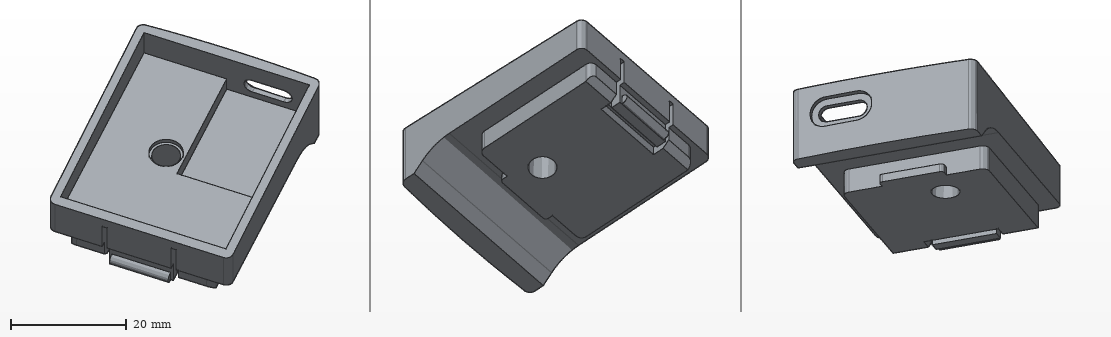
import cadquery as cq
import math

body_width = 34.2
front_height = 12.0
back_height = 13.62
corner_radius = 1.3
side_wall = 1.6
front_wall = 1.9
back_side_length = 41.9
back_bow = 0.5
overall_length = back_side_length + back_bow
pocket_back = 40.3

underside_z = 4.5
foot_length = 3.67
arch_radius = 8.75
arch_angle = math.radians(45)

floor_z = 8.0
deep_floor_z = 5.2
deep_floor_front = 17.4

plug_width = 27.0
plug_front = 1.0
plug_length = 25.95
plug_corner_radius = 1.3
plug_chamfer = 1.3

tongue_width = 12.0
tongue_length = 1.6
tongue_height = 1.5
tongue_corner_radius = 0.65

clip_width = 12.0
clip_back = 2.9
clip_gap = 0.93
clip_slot_top = 10.0
clip_opening_back = 4.0
clip_relief_depth = 0.5
clip_bead_width = 11.0
clip_bead_radius = 1.0
clip_bead_projection = 0.2

screw_x = -3.5
screw_y = 21.0
screw_diameter = 5.0
screw_head_diameter = 6.01
screw_head_depth = 0.8

port_width = 9.0
port_height = 3.1
port_z = 8.2
port_wall = 1.0
port_recess_margin = 1.3

inner_half_width = body_width / 2 - side_wall


def box(x_min, x_max, y_min, y_max, z_min, z_max):
    """Axis-aligned block between the given limits."""
    size = (x_max - x_min, y_max - y_min, z_max - z_min)
    return cq.Workplane("XY").box(*size, centered=False).translate((x_min, y_min, z_min))


def make_side_profile():
    """Sloped rim, flat underside and arched foot, extruded across the width."""
    rise = underside_z - arch_radius * (1 - math.cos(arch_angle))
    arch_low_y = overall_length - foot_length - rise / math.tan(arch_angle)
    arch_start_y = arch_low_y - arch_radius * math.sin(arch_angle)
    mid_y = arch_start_y + arch_radius * math.sin(arch_angle / 2)
    mid_z = underside_z - arch_radius * (1 - math.cos(arch_angle / 2))
    return (
        cq.Workplane("YZ")
        .moveTo(0, underside_z)
        .lineTo(arch_start_y, underside_z)
        .threePointArc((mid_y, mid_z), (arch_low_y, rise))
        .lineTo(overall_length - foot_length, 0)
        .lineTo(overall_length, 0)
        .lineTo(overall_length, back_height)
        .lineTo(0, front_height)
        .close()
        .extrude(body_width / 2, both=True)
    )


def make_plan():
    """Rounded plan outline with a bowed back face, as a tall prism."""
    half = body_width / 2
    return (
        cq.Workplane("XY")
        .moveTo(-half, 0)
        .lineTo(half, 0)
        .lineTo(half, back_side_length)
        .threePointArc((0, overall_length), (-half, back_side_length))
        .close()
        .extrude(back_height)
        .edges("|Z")
        .fillet(corner_radius)
    )


def make_plug():
    """Rounded block under the tray with a chamfered lower front edge."""
    half = plug_width / 2
    plug = box(-half, half, plug_front, plug_front + plug_length, 0, underside_z)
    plug = plug.edges("|Z").fillet(plug_corner_radius)
    chamfer = (
        cq.Workplane("YZ")
        .moveTo(plug_front, 0)
        .lineTo(plug_front + plug_chamfer, 0)
        .lineTo(plug_front, plug_chamfer)
        .close()
        .extrude(half, both=True)
    )
    return plug.cut(chamfer)


def make_tongue():
    """Locating tongue at the bottom of the plug's back face."""
    half = tongue_width / 2
    plug_back = plug_front + plug_length
    tongue = box(-half, half, plug_back - tongue_length, plug_back + tongue_length, 0, tongue_height)
    return tongue.edges("|Z and >Y").fillet(tongue_corner_radius)


def make_pocket():
    """Open-topped pocket with a deeper floor in its back right quarter."""
    upper = box(-inner_half_width, inner_half_width, front_wall, pocket_back, floor_z, back_height)
    deep = box(0, inner_half_width, deep_floor_front, pocket_back, deep_floor_z, floor_z)
    return upper.union(deep)


def make_clip_opening():
    """U-shaped gap that frees the clip arm from the plug and front wall."""
    half = clip_width / 2 + clip_gap
    opening = box(-half, half, 0, clip_opening_back, 0, clip_slot_top)
    relief_back = clip_opening_back + clip_relief_depth
    relief = box(-half, half, clip_opening_back, relief_back, 0, 2 * clip_bead_radius)
    return opening.union(relief)


def make_clip():
    """Clip arm hanging from the front wall, with a rounded snap bead."""
    half = clip_width / 2
    arm = box(-half, half, plug_front, clip_back, 0, floor_z)
    wall = box(-half, half, 0, front_wall, underside_z, clip_slot_top)
    bead = (
        cq.Workplane("YZ")
        .center(clip_bead_radius - clip_bead_projection, clip_bead_radius)
        .circle(clip_bead_radius)
        .extrude(clip_bead_width / 2, both=True)
    )
    return arm.union(wall).union(bead)


def make_screw_hole():
    """Through hole with a shallow counterbore in the pocket floor."""
    hole = cq.Workplane("XY").circle(screw_diameter / 2).extrude(floor_z)
    head = (
        cq.Workplane("XY")
        .workplane(offset=floor_z - screw_head_depth)
        .circle(screw_head_diameter / 2)
        .extrude(screw_head_depth)
    )
    return hole.union(head).translate((screw_x, screw_y, 0))


def oblong_along_y(width, height, y_min, y_max):
    """Round-ended slot centred on the port, running front to back."""
    straight = width - height
    bar = box(-straight / 2, straight / 2, y_min, y_max, -height / 2, height / 2)
    ends = (
        cq.Workplane("XZ", origin=(0, y_max, 0))
        .pushPoints([(-straight / 2, 0), (straight / 2, 0)])
        .circle(height / 2)
        .extrude(y_max - y_min)
    )
    return bar.union(ends).translate((inner_half_width / 2, 0, port_z))


def make_port():
    """Port through the back wall, with a larger recess on the outer face."""
    recess_front = pocket_back + port_wall
    port = oblong_along_y(port_width, port_height, pocket_back, recess_front)
    recess = oblong_along_y(
        port_width + 2 * port_recess_margin,
        port_height + 2 * port_recess_margin,
        recess_front,
        overall_length,
    )
    return port.union(recess)


result = (
    make_side_profile()
    .intersect(make_plan())
    .union(make_plug())
    .union(make_tongue())
    .cut(make_pocket())
    .cut(make_clip_opening())
    .union(make_clip())
    .cut(make_screw_hole())
    .cut(make_port())
)